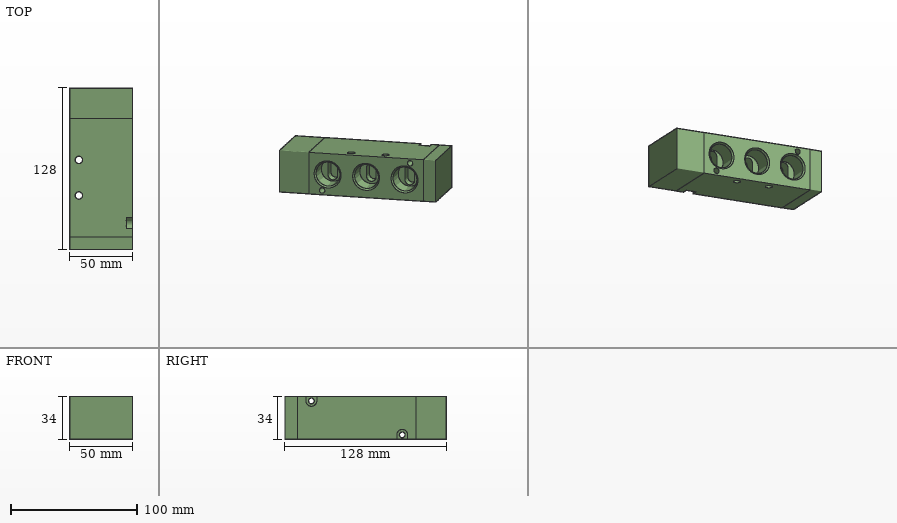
import cadquery as cq

LENGTH = 128.0
WIDTH = 50.0
HEIGHT = 34.0
REAR_CAP_LENGTH = 24.0
FRONT_CAP_LENGTH = 10.1

CAP_EDGE_RADIUS = 0.3

BODY_LENGTH = LENGTH - REAR_CAP_LENGTH - FRONT_CAP_LENGTH

PORT_PITCH = 31.5
PORT_DIAMETER = 19.5
PORT_RIM_DIAMETER = 22.0
PORT_FLOOR_DIAMETER = 18.7
PORT_DEPTH = 16.0
SLOT_WIDTH = 7.5
OUTER_SLOT_HEIGHT = 16.6
MIDDLE_SLOT_HEIGHT = 15.1
SLOT_HEIGHT_BY_PORT = {-1: OUTER_SLOT_HEIGHT, 0: MIDDLE_SLOT_HEIGHT, 1: OUTER_SLOT_HEIGHT}
SLOT_END_X = 0.0

VERTICAL_HOLE_DIAMETER = 5.6
VERTICAL_HOLE_PITCH = 28.2
VERTICAL_HOLE_INSET = 7.4

CROSS_HOLE_DIAMETER = 4.4
CROSS_HOLE_Y = 36.0
CROSS_HOLE_INSET = 3.6
NOTCH_WIDTH = 8.6
NOTCH_DEPTH = 5.1


def x_workplane(x):
    """Plane at x facing +X, with local axes along Y and Z."""
    return cq.Workplane("YZ", origin=(x, 0, 0))


def cone_frustum(start_x, center_y, start_diameter, end_diameter, length):
    """Cone frustum along +X."""
    cone = cq.Solid.makeCone(
        start_diameter / 2,
        end_diameter / 2,
        length,
        pnt=cq.Vector(start_x, center_y, 0),
        dir=cq.Vector(1, 0, 0),
    )
    return cq.Workplane(cone)


def port_cutter(center_y, slot_height):
    rim_depth = (PORT_RIM_DIAMETER - PORT_DIAMETER) / 2
    rim = cone_frustum(-WIDTH / 2, center_y, PORT_RIM_DIAMETER, PORT_DIAMETER, rim_depth)
    bore_depth = PORT_DEPTH - rim_depth
    bore = cone_frustum(
        rim_depth - WIDTH / 2, center_y, PORT_DIAMETER, PORT_FLOOR_DIAMETER, bore_depth
    )
    slot_start_x = PORT_DEPTH - WIDTH / 2
    slot = (
        x_workplane(slot_start_x)
        .center(center_y, 0)
        .slot2D(slot_height, SLOT_WIDTH, 90)
        .extrude(SLOT_END_X - slot_start_x)
    )
    return bore.union(rim).union(slot)


def vertical_holes_cutter():
    return (
        cq.Workplane("XY", origin=(VERTICAL_HOLE_INSET - WIDTH / 2, 0, -HEIGHT / 2))
        .rarray(1.3, VERTICAL_HOLE_PITCH, 1, 2)
        .circle(VERTICAL_HOLE_DIAMETER / 2)
        .extrude(HEIGHT)
    )


def cross_hole_cutter():
    """Hole near the top front edge, with a round-bottomed notch open to the top."""
    hole_z = HEIGHT / 2 - CROSS_HOLE_INSET
    hole = (
        x_workplane(-WIDTH / 2)
        .center(-CROSS_HOLE_Y, hole_z)
        .circle(CROSS_HOLE_DIAMETER / 2)
        .extrude(WIDTH)
    )
    notch_start = x_workplane(WIDTH / 2 - NOTCH_DEPTH)
    notch_floor = (
        notch_start.center(-CROSS_HOLE_Y, hole_z).circle(NOTCH_WIDTH / 2).extrude(NOTCH_DEPTH)
    )
    notch_walls = (
        notch_start.center(-CROSS_HOLE_Y, hole_z + NOTCH_WIDTH / 2)
        .rect(NOTCH_WIDTH, NOTCH_WIDTH)
        .extrude(NOTCH_DEPTH)
    )
    return hole.union(notch_floor).union(notch_walls)


def make_valve_body():
    body = cq.Workplane("XY").box(WIDTH, BODY_LENGTH, HEIGHT)
    for position, slot_height in SLOT_HEIGHT_BY_PORT.items():
        body = body.cut(port_cutter(position * PORT_PITCH, slot_height))
    body = body.cut(vertical_holes_cutter())
    for angle in (0, 180):
        body = body.cut(cross_hole_cutter().rotate((0, 0, 0), (1, 0, 0), angle))
    return body


def cap_block(length, center_y):
    """End cap with rounded long edges, centred on center_y."""
    block = cq.Workplane("XY").box(WIDTH, length, HEIGHT).edges("|Y").fillet(CAP_EDGE_RADIUS)
    return block.translate((0, center_y, 0))


def make_rear_cap():
    return cap_block(REAR_CAP_LENGTH, (BODY_LENGTH + REAR_CAP_LENGTH) / 2)


def make_front_cap():
    return cap_block(FRONT_CAP_LENGTH, -(BODY_LENGTH + FRONT_CAP_LENGTH) / 2)


valve_body = make_valve_body()
rear_cap = make_rear_cap()
front_cap = make_front_cap()

result = cq.Compound.makeCompound([valve_body.val(), rear_cap.val(), front_cap.val()])